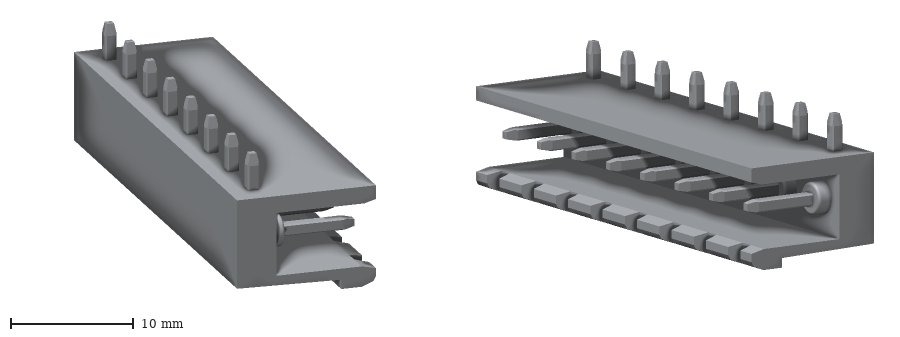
import cadquery as cq


pin_count = 8
pitch = 5.08
housing_length = pin_count * pitch

housing_depth = 12.0
housing_height = 8.6
back_wall = 3.4
upper_arm = 1.45
slot_height = 5.4
back_height = 7.6
arm_drop = 0.2
latch_length = 3.0
upper_lead_in_length = 1.0
lower_lead_in_length = 1.22
lead_in_height = 0.27
nose_height = 0.7
nose_knee_setback = 0.2
nose_knee_height = 0.4
nose_ramp_length = 1.2

notch_mouth_width = 1.8
notch_floor_width = 1.2

pin_width = 1.0
pin_edge_chamfer = 0.12
tip_length = 1.0
tip_width = 0.6
tail_length = 3.1
tail_from_back = 2.17
contact_end = 10.9
contact_below_top = 3.78

collar_diameter = 2.75
collar_length = 1.2
collar_rounding = 0.25

root_depth = 0.5

top_z = housing_height
slot_top_z = top_z - upper_arm
slot_bottom_z = slot_top_z - slot_height
back_bottom_z = top_z - back_height
latch_y = housing_depth - latch_length
upper_lead_in_y = housing_depth - upper_lead_in_length
lower_lead_in_y = housing_depth - lower_lead_in_length
nose_top_z = slot_bottom_z - lead_in_height
contact_z = top_z - contact_below_top


def housing():
    outline = [
        (0, back_bottom_z),
        (0, top_z),
        (housing_depth, top_z),
        (housing_depth, slot_top_z + lead_in_height),
        (upper_lead_in_y, slot_top_z),
        (back_wall, slot_top_z),
        (back_wall, slot_bottom_z),
        (lower_lead_in_y, slot_bottom_z),
        (housing_depth, nose_top_z),
        (housing_depth, nose_top_z - nose_height),
        (housing_depth - nose_knee_setback, nose_knee_height),
        (housing_depth - nose_ramp_length, 0),
        (latch_y, 0),
        (latch_y, back_bottom_z - arm_drop),
    ]
    return cq.Workplane("YZ").polyline(outline).close().extrude(housing_length)


def lip_notch():
    """Cutter for one notch, centred on X = 0 and open toward +Y."""
    outline = [
        (-notch_mouth_width / 2, housing_depth),
        (-notch_floor_width / 2, lower_lead_in_y),
        (notch_floor_width / 2, lower_lead_in_y),
        (notch_mouth_width / 2, housing_depth),
    ]
    return cq.Workplane("XY").polyline(outline).close().extrude(slot_bottom_z)


def pin(length):
    """Square pin along +Z with chamfered edges and a tapered square tip."""
    shank_length = length - tip_length
    bar = (
        cq.Workplane("XY")
        .rect(pin_width, pin_width)
        .extrude(length)
        .edges("|Z")
        .chamfer(pin_edge_chamfer)
    )
    tapered_envelope = (
        cq.Workplane("XY")
        .rect(pin_width, pin_width)
        .extrude(shank_length)
        .faces(">Z")
        .workplane()
        .rect(pin_width, pin_width)
        .workplane(offset=tip_length)
        .rect(tip_width, tip_width)
        .loft(ruled=True)
    )
    return bar.intersect(tapered_envelope)


def collar():
    """Round collar along +Z with a rounded free end."""
    return (
        cq.Workplane("XY")
        .circle(collar_diameter / 2)
        .extrude(collar_length + root_depth)
        .faces(">Z")
        .edges()
        .fillet(collar_rounding)
    )


def point_forward(shape):
    """Turn a shape built along +Z so that it points along +Y."""
    return shape.rotate((0, 0, 0), (1, 0, 0), -90)


notch = lip_notch()
tail = pin(tail_length + root_depth)
root_y = back_wall - root_depth
contact = point_forward(pin(contact_end - root_y).union(collar()))

result = housing()
for index in range(pin_count):
    pin_x = (index + 0.5) * pitch
    result = result.cut(notch.translate((pin_x, 0, 0)))
    result = result.union(tail.translate((pin_x, tail_from_back, top_z - root_depth)))
    result = result.union(contact.translate((pin_x, root_y, contact_z)))